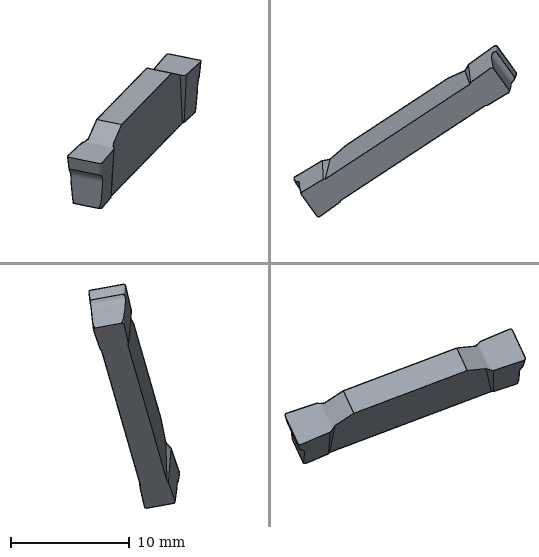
import cadquery as cq
import math


length = 20.78
height = 5.78
shank_width = 2.3

head_top_z = 4.6
edge_width = 3.2
side_taper = 2.5
front_clearance = 7.0
side_clearance = 3.0
corner_radius = 0.2

shoulder_angle = 30.0
shoulder_y = 6.91
head_root_y = 6.2

ridge_half_length = 5.18
ramp_angle = 30.0
ramp_radius = 0.3
foot_y = 9.83
relief_start_z = 2.54
relief_radius = 1.15

half_length = length / 2
blank_width = 2 * edge_width


def slope(degrees):
    return math.tan(math.radians(degrees))


def head_section(z):
    """Plan outline of the +Y head at height z, with sharp corners."""
    depth = head_top_z - z
    draft = depth * slope(side_clearance)
    front_y = half_length - depth * slope(front_clearance)

    side_slope = slope(side_taper)
    side_offset = edge_width / 2 - side_slope * half_length
    side_offset -= draft / math.cos(math.radians(side_taper))
    shoulder_slope = slope(shoulder_angle)
    shoulder_offset = shank_width / 2 - shoulder_slope * shoulder_y
    shoulder_offset -= draft / math.cos(math.radians(shoulder_angle))

    bend_y = (side_offset - shoulder_offset) / (shoulder_slope - side_slope)
    right_side = [
        (shoulder_offset + shoulder_slope * head_root_y, head_root_y),
        (side_offset + side_slope * bend_y, bend_y),
        (side_offset + side_slope * front_y, front_y),
    ]
    left_side = [(-x, y) for x, y in reversed(right_side)]
    return right_side + left_side


def head_body():
    """Drafted +Y head, full height, with rounded front corners."""
    body = (
        cq.Workplane("XY")
        .polyline(head_section(0)).close()
        .workplane(offset=height)
        .polyline(head_section(height)).close()
        .loft(ruled=True, combine=True)
    )
    front_corners = body.faces(">Y").edges("not #Z")
    return front_corners.fillet(corner_radius)


def side_profile():
    """Half of the side outline (Y >= 0), extruded wider than the part."""
    rise = height - head_top_z
    ramp_foot_y = ridge_half_length + rise / slope(ramp_angle)
    tangent = ramp_radius * slope(ramp_angle / 2)
    blend_start = (
        ramp_foot_y - tangent * math.cos(math.radians(ramp_angle)),
        head_top_z + tangent * math.sin(math.radians(ramp_angle)),
    )
    blend_end = (ramp_foot_y + tangent, head_top_z)

    hollow_end = (foot_y + relief_radius, relief_start_z + relief_radius)
    return (
        cq.Workplane("YZ")
        .moveTo(0, 0)
        .lineTo(foot_y, 0)
        .lineTo(foot_y, relief_start_z)
        .radiusArc(hollow_end, relief_radius)
        .lineTo(hollow_end[0], head_top_z)
        .lineTo(*blend_end)
        .radiusArc(blend_start, ramp_radius)
        .lineTo(ridge_half_length, height)
        .lineTo(0, height)
        .close()
        .extrude(blank_width / 2, both=True)
    )


def half_insert():
    """The +Y half: shank and head, trimmed to the side outline."""
    shank_end_y = (shoulder_y + half_length) / 2
    shank = cq.Workplane("XY").box(
        shank_width, shank_end_y, height, centered=(True, False, False)
    )
    return shank.union(head_body()).intersect(side_profile())


half = half_insert()
result = half.union(half.mirror("XZ")).clean()